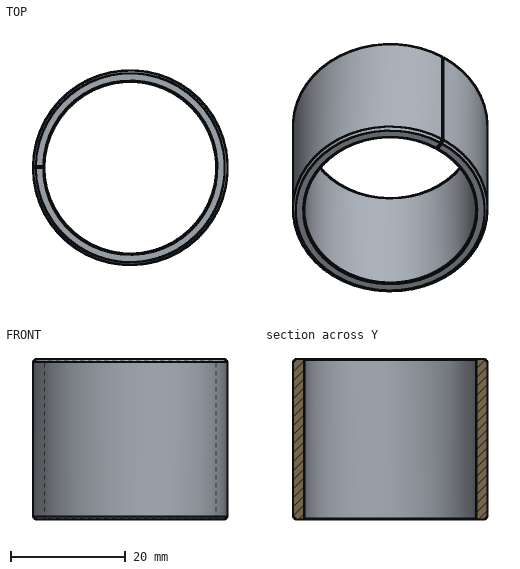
import cadquery as cq

outer_diameter = 34.0
inner_diameter = 30.0
height = 28.0
outer_chamfer = 0.5
inner_chamfer = 0.2
split_angle = 1.0
split_start_angle = 180.0

outer_radius = outer_diameter / 2
inner_radius = inner_diameter / 2
half_height = height / 2


def split_sleeve():
    """Revolve the chamfered wall section, leaving a radial split.

    The split starts at the -X axis and opens toward +Y.
    """
    section = [
        (inner_radius, -half_height + inner_chamfer),
        (inner_radius + inner_chamfer, -half_height),
        (outer_radius - outer_chamfer, -half_height),
        (outer_radius, -half_height + outer_chamfer),
        (outer_radius, half_height - outer_chamfer),
        (outer_radius - outer_chamfer, half_height),
        (inner_radius + inner_chamfer, half_height),
        (inner_radius, half_height - inner_chamfer),
    ]
    ring = cq.Workplane("XZ").polyline(section).close().revolve(360 - split_angle, (0, 0), (0, 1))
    return ring.rotate((0, 0, 0), (0, 0, 1), split_start_angle)


result = split_sleeve()